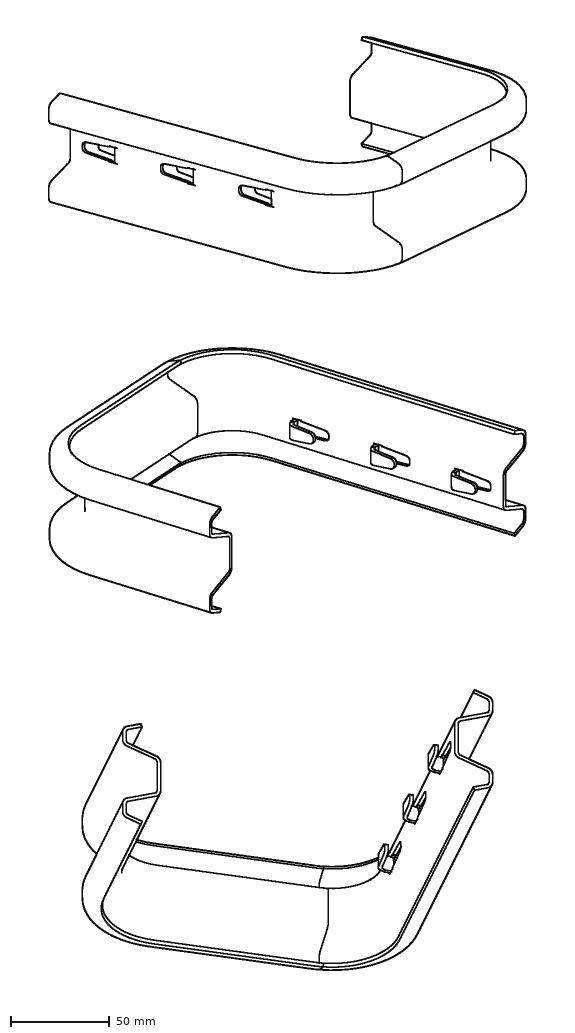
import cadquery as cq
import math


LENGTH = 195.0
DEPTH = 175.0
HEIGHT = 60.0
BEND_RADIUS = 45.0
UPPER_ARM_START = 74.9
SEAM_Y = 40.5

THICKNESS = 2.0
CHANNEL_DEPTH = 20.0
SIDE_ANGLE = math.radians(20)
FLANGE_INNER_Z = 16.4
FLANGE_OUTER_Z = 26.5
FOLD_RADIUS = 2.0

TONGUE_COUNT = 3
TONGUE_PITCH = 50.0
SLOT_START = 7.8
ROOT_X = 30.6
TONGUE_TIP = 12.5
FOOT_X = 27.0
TONGUE_RISE = 7.2
ROOT_FOLD_RADIUS = 1.2
ROOT_HALF_WIDTH = 4.3
TAPER_HALF_WIDTH = 3.9
TIP_HALF_WIDTH = 2.7
TIP_CORNER_RADIUS = 2.3

WEB_OUTER_Y = CHANNEL_DEPTH - THICKNESS
TAPER_END = FOOT_X - FOLD_RADIUS


def rounded_outline(plane, corners, radii):
    """Closed outline through sharp corners, each rounded by its radius (0 keeps it sharp)."""
    points = [cq.Vector(*corner) for corner in corners]
    outline = None
    for i, (point, radius) in enumerate(zip(points, radii)):
        incoming = (point - points[i - 1]).normalized()
        outgoing = (points[(i + 1) % len(points)] - point).normalized()
        half_turn = incoming.getAngle(outgoing) / 2
        setback = radius * math.tan(half_turn)
        start = point - incoming * setback
        if outline is None:
            outline = cq.Workplane(plane).moveTo(start.x, start.y)
        else:
            outline = outline.lineTo(start.x, start.y)
        if radius > 0:
            end = point + outgoing * setback
            inward = (outgoing - incoming).normalized()
            middle = point + inward * (radius / math.cos(half_turn) - radius)
            outline = outline.threePointArc((middle.x, middle.y), (end.x, end.y))
    return outline.close()


def folded_sheet(plane, corners, inside_radii):
    """Section of a folded sheet: one face runs through the corners, the other lies to its left."""
    points = [cq.Vector(*corner) for corner in corners]
    directions = [(b - a).normalized() for a, b in zip(points, points[1:])]
    normals = [cq.Vector(-d.y, d.x) for d in directions]
    right_radii = [0]
    left_points = [points[0] + normals[0] * THICKNESS]
    left_radii = [0]
    for i, radius in enumerate(inside_radii):
        before, after = normals[i], normals[i + 1]
        mitre = (before + after) * (THICKNESS / (1 + before.dot(after)))
        left_points.append(points[i + 1] + mitre)
        turns_left = directions[i].cross(directions[i + 1]).z > 0
        right_radii.append(radius + THICKNESS if turns_left else radius)
        left_radii.append(radius if turns_left else radius + THICKNESS)
    left_points.append(points[-1] + normals[-1] * THICKNESS)
    right_radii.append(0)
    left_radii.append(0)
    outline = [(p.x, p.y) for p in points + left_points[::-1]]
    return rounded_outline(plane, outline, right_radii + left_radii[::-1])


def make_channel():
    """Whole channel, swept around the bracket along its outer face."""
    slope = math.tan(SIDE_ANGLE)
    lip_end = ((HEIGHT / 2 - FLANGE_OUTER_Z) / slope, HEIGHT / 2)
    web_corner = (WEB_OUTER_Y, FLANGE_INNER_Z - WEB_OUTER_Y * slope)
    upper_half = [lip_end, (0, FLANGE_OUTER_Z), (0, FLANGE_INNER_Z), web_corner]
    lower_half = [(y, -z) for y, z in reversed(upper_half)]
    corners = upper_half + lower_half
    section = folded_sheet("YZ", corners, [FOLD_RADIUS] * (len(corners) - 2))

    bend_start = LENGTH - BEND_RADIUS
    bend_middle = BEND_RADIUS * (1 - math.sqrt(0.5))
    path = (
        cq.Workplane("XY")
        .lineTo(bend_start, 0)
        .threePointArc((LENGTH - bend_middle, bend_middle), (LENGTH, BEND_RADIUS))
        .lineTo(LENGTH, DEPTH - BEND_RADIUS)
        .threePointArc((LENGTH - bend_middle, DEPTH - bend_middle), (bend_start, DEPTH))
        .lineTo(UPPER_ARM_START, DEPTH)
    )
    return section.sweep(path)


def tapered_prism(tip_x, base_y, height):
    """Prism with the plan of a blade, from its rounded tip to the root, standing on Y = base_y."""
    upper_edge = [(tip_x, TIP_HALF_WIDTH), (TAPER_END, TAPER_HALF_WIDTH), (ROOT_X, TAPER_HALF_WIDTH)]
    lower_edge = [(x, -z) for x, z in reversed(upper_edge)]
    radii = [TIP_CORNER_RADIUS, 0, 0, 0, 0, TIP_CORNER_RADIUS]
    plane = cq.Plane(origin=(0, base_y, 0), xDir=(1, 0, 0), normal=(0, -1, 0))
    return rounded_outline(plane, upper_edge + lower_edge, radii).extrude(-height)


def root_block(height):
    """Block as wide as the root of a tongue, standing on the outer face of the web."""
    length = ROOT_X - TAPER_END
    width = 2 * ROOT_HALF_WIDTH
    block = cq.Workplane("XY").box(length, height, width, centered=(False, False, True))
    return block.translate((TAPER_END, WEB_OUTER_Y, 0))


def make_slot():
    """First slot through the web: a taper that opens into a wider rectangle at the root."""
    return tapered_prism(SLOT_START, WEB_OUTER_Y, THICKNESS).union(root_block(THICKNESS))


def make_tongue():
    """First tongue: root in the web, wide upright foot, and a blade that points to the free end."""
    top_y = CHANNEL_DEPTH + TONGUE_RISE
    blade_y = top_y - THICKNESS
    fold_height = FOLD_RADIUS + THICKNESS
    foot_top_y = top_y - fold_height
    side = folded_sheet(
        "XY",
        [(TONGUE_TIP, blade_y), (FOOT_X, blade_y), (FOOT_X, WEB_OUTER_Y), (ROOT_X, WEB_OUTER_Y)],
        [FOLD_RADIUS, ROOT_FOLD_RADIUS],
    )
    strip = side.extrude(ROOT_HALF_WIDTH, both=True)
    blade = strip.intersect(tapered_prism(TONGUE_TIP, foot_top_y, fold_height))
    foot = strip.intersect(root_block(foot_top_y - WEB_OUTER_Y))
    return blade.union(foot)


def make_lower_length(channel, below_seam):
    """Lower arm and most of its corner, with the row of slots and tongues."""
    body = channel.intersect(below_seam)
    slot = make_slot()
    tongue = make_tongue()
    for i in range(TONGUE_COUNT):
        shift = (i * TONGUE_PITCH, 0, 0)
        body = body.cut(slot.translate(shift)).union(tongue.translate(shift))
    return body


def make_upper_length(channel, below_seam):
    """Post and upper arm, starting at the seam."""
    return channel.cut(below_seam)


channel = make_channel()
below_seam = cq.Workplane("XY").box(LENGTH, SEAM_Y, HEIGHT, centered=(False, False, True))
lower_length = make_lower_length(channel, below_seam)
upper_length = make_upper_length(channel, below_seam)

result = cq.Compound.makeCompound([lower_length.val(), upper_length.val()])